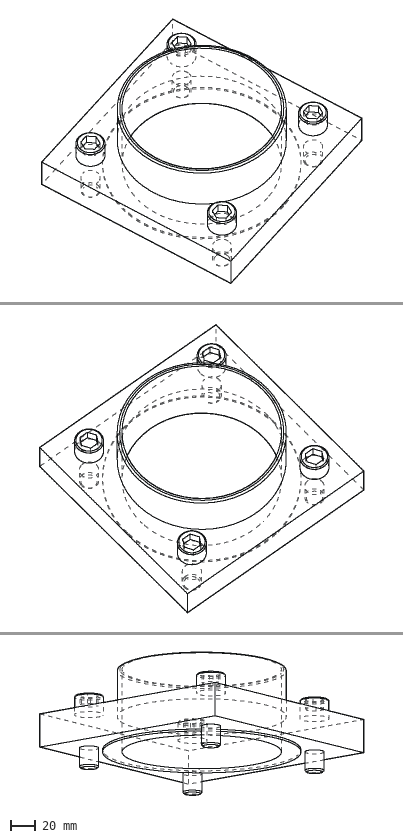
import cadquery as cq
import math

plate_side = 190
plate_thickness = 28.1

tube_height = 39.9
tube_diameter = 139.6
bore_diameter = 131.7
tube_chamfer_height = 1.0
tube_chamfer_width = 2.0

ring_diameter = 164.0
ring_height = 1.7

screw_spacing = 132.0
shank_diameter = 16.0
shank_projection = 17.0
shank_chamfer = 1.3
head_diameter = 1.5 * shank_diameter
head_height = shank_diameter
head_chamfer = 1.1
hex_width = 13.9
hex_corner_diameter = hex_width / math.cos(math.pi / 6)
hex_depth = head_height / 2


def make_flange():
    plate = cq.Workplane("XY").rect(plate_side, plate_side).extrude(-plate_thickness)
    tube = (
        cq.Workplane("XY").circle(tube_diameter / 2).extrude(tube_height)
        .faces(">Z").chamfer(tube_chamfer_height, tube_chamfer_width)
    )
    ring = (
        cq.Workplane("XY").workplane(offset=-plate_thickness)
        .circle(ring_diameter / 2).extrude(-ring_height)
    )
    bore = (
        cq.Workplane("XY").workplane(offset=tube_height)
        .circle(bore_diameter / 2).extrude(-(tube_height + plate_thickness + ring_height))
    )
    return plate.union(tube).union(ring).cut(bore)


def make_screw():
    head = (
        cq.Workplane("XY").circle(head_diameter / 2).extrude(head_height)
        .faces(">Z").edges().chamfer(head_chamfer)
    )
    hex_socket = (
        cq.Workplane("XY").workplane(offset=head_height)
        .transformed(rotate=(0, 0, 90))
        .polygon(6, hex_corner_diameter).extrude(-hex_depth)
    )
    shank = (
        cq.Workplane("XY").circle(shank_diameter / 2)
        .extrude(-(plate_thickness + shank_projection))
        .faces("<Z").chamfer(shank_chamfer)
    )
    return head.cut(hex_socket).union(shank)


result = make_flange()
screw = make_screw()
for x_side in (-1, 1):
    for y_side in (-1, 1):
        position = (x_side * screw_spacing / 2, y_side * screw_spacing / 2, 0)
        result = result.union(screw.translate(position))